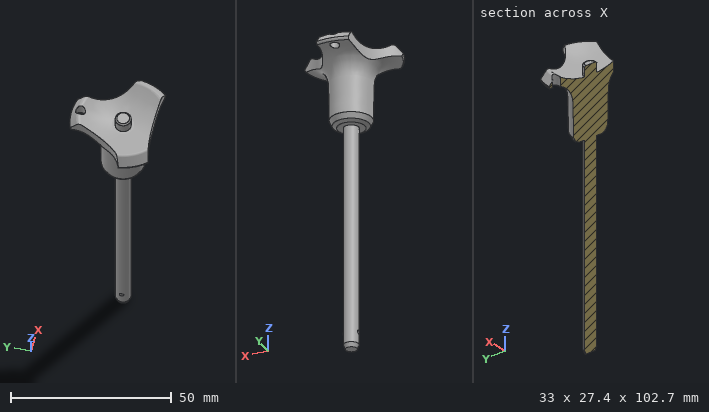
import cadquery as cq
import math

total_length = 102.7
handle_height = 26.7

rim_radius = 16.65
rim_crest_outer_radius = 14.6
rim_crest_inner_radius = 13.15
rim_crest_inner_z = -0.19
rim_crest_outer_z = -0.38
rim_crest_radius = 13.75
rim_edge_z = -2.8
rim_bottom_z = -3.8
rim_edge_inset = 0.45
rim_edge_mid_inset = 0.11

dish_radius = 22.7
dish_floor_radius = 3.5

grip_top_radius = 7.2
grip_top_z = -11.8
grip_bottom_radius = 6.95
grip_bottom_z = -24.2
grip_taper_end_radius = 6.0
grip_taper_end_z = -26.0
grip_end_radius = 4.6

rear_lobe_half_width = 5.4
side_scallop_radius = 17.2
handle_width = 33.03
lobe_outer_corner_x = handle_width / 2
lobe_front_corner_y = -10.75
front_scallop_radius = 53.0

lanyard_hole_diameter = 3.0
lanyard_hole_y = 13.6

button_diameter = 5.0
button_top_z = -0.3
button_chamfer = 0.5

pin_diameter = 5.0
pin_tip_chamfer_length = 1.5
pin_tip_chamfer_width = 0.55
ball_diameter = 2.0
ball_protrusion = 0.2
ball_height_above_tip = 5.5


def on_rim(known):
    """Other coordinate of a point on the rim circle, as a positive length."""
    return math.sqrt(rim_radius**2 - known**2)


def make_handle_body():
    """Revolved knob: rounded rim crest, conical rim edge, flared underside, tapered grip."""
    dish_center_z = rim_crest_inner_z + math.sqrt(dish_radius**2 - rim_crest_inner_radius**2)
    dish_mid_radius = (rim_crest_inner_radius + dish_floor_radius) / 2

    def dish_z(radius):
        return dish_center_z - math.sqrt(dish_radius**2 - radius**2)

    flare_radius = rim_bottom_z - grip_top_z
    flare_end_radius = grip_top_radius + flare_radius
    diagonal = math.sqrt(0.5)
    flare_mid = (flare_end_radius - flare_radius * diagonal, grip_top_z + flare_radius * diagonal)
    dish_mid = (dish_mid_radius, dish_z(dish_mid_radius))
    crest_inner = (rim_crest_inner_radius, rim_crest_inner_z)
    crest_outer = (rim_crest_outer_radius, rim_crest_outer_z)
    rim_edge_mid = (rim_radius - rim_edge_mid_inset, (rim_edge_z + rim_bottom_z) / 2)
    rim_edge_end = (rim_radius - rim_edge_inset, rim_bottom_z)

    return (
        cq.Workplane("XZ")
        .moveTo(0, dish_z(dish_floor_radius))
        .lineTo(dish_floor_radius, dish_z(dish_floor_radius))
        .threePointArc(dish_mid, crest_inner)
        .threePointArc((rim_crest_radius, 0), crest_outer)
        .lineTo(rim_radius, rim_edge_z)
        .threePointArc(rim_edge_mid, rim_edge_end)
        .lineTo(flare_end_radius, rim_bottom_z)
        .threePointArc(flare_mid, (grip_top_radius, grip_top_z))
        .lineTo(grip_bottom_radius, grip_bottom_z)
        .lineTo(grip_taper_end_radius, grip_taper_end_z)
        .lineTo(grip_end_radius, -handle_height)
        .lineTo(0, -handle_height)
        .close()
        .revolve(360, (0, 0, 0), (0, 1, 0))
    )


def mirrored(point):
    """Point on the other side of the YZ symmetry plane."""
    return (-point[0], point[1])


def scallop_middle(start, end, radius):
    """Middle of a concave arc of the given radius, taken clockwise round the part."""
    chord_x = end[0] - start[0]
    chord_y = end[1] - start[1]
    chord = math.hypot(chord_x, chord_y)
    sagitta = radius - math.sqrt(radius**2 - (chord / 2) ** 2)
    inward_x = chord_y / chord
    inward_y = -chord_x / chord
    return (
        (start[0] + end[0]) / 2 + sagitta * inward_x,
        (start[1] + end[1]) / 2 + sagitta * inward_y,
    )


def make_lobe_outline():
    """Prism with the three-lobed outline, tall enough to contain the whole handle."""
    rear_tip_y = on_rim(rear_lobe_half_width)
    lobe_rear_corner_y = -on_rim(lobe_outer_corner_x)
    lobe_front_corner_x = on_rim(lobe_front_corner_y)
    lobe_mid_angle = (
        math.atan2(lobe_rear_corner_y, lobe_outer_corner_x)
        + math.atan2(lobe_front_corner_y, lobe_front_corner_x)
    ) / 2

    rear_corner = (rear_lobe_half_width, rear_tip_y)
    outer_corner = (lobe_outer_corner_x, lobe_rear_corner_y)
    front_corner = (lobe_front_corner_x, lobe_front_corner_y)
    lobe_mid = (rim_radius * math.cos(lobe_mid_angle), rim_radius * math.sin(lobe_mid_angle))
    side_mid = scallop_middle(rear_corner, outer_corner, side_scallop_radius)
    front_mid = scallop_middle(front_corner, mirrored(front_corner), front_scallop_radius)

    return (
        cq.Workplane("XY")
        .workplane(offset=-handle_height)
        .moveTo(*mirrored(rear_corner))
        .threePointArc((0, rim_radius), rear_corner)
        .threePointArc(side_mid, outer_corner)
        .threePointArc(lobe_mid, front_corner)
        .threePointArc(front_mid, mirrored(front_corner))
        .threePointArc(mirrored(lobe_mid), mirrored(outer_corner))
        .threePointArc(mirrored(side_mid), mirrored(rear_corner))
        .close()
        .extrude(handle_height)
    )


def make_lanyard_hole():
    """Vertical hole passing right through the rear lobe."""
    return (
        cq.Workplane("XY")
        .center(0, lanyard_hole_y)
        .circle(lanyard_hole_diameter / 2)
        .extrude(-handle_height)
    )


def make_button():
    """Release button standing in the dish, rooted in the grip."""
    return (
        cq.Workplane("XY")
        .workplane(offset=button_top_z)
        .circle(button_diameter / 2)
        .extrude(grip_top_z - button_top_z)
        .faces(">Z")
        .chamfer(button_chamfer)
    )


def make_pin():
    """Shank from inside the grip down to the tapered tip."""
    return (
        cq.Workplane("XY")
        .workplane(offset=grip_bottom_z)
        .circle(pin_diameter / 2)
        .extrude(-total_length - grip_bottom_z)
        .faces("<Z")
        .chamfer(pin_tip_chamfer_length, pin_tip_chamfer_width)
    )


def make_ball(side):
    """Locking ball standing slightly proud of the shank on the given X side."""
    center_x = side * ((pin_diameter - ball_diameter) / 2 + ball_protrusion)
    center = (center_x, 0, ball_height_above_tip - total_length)
    return cq.Workplane("XY").sphere(ball_diameter / 2).translate(center)


handle = make_handle_body().intersect(make_lobe_outline()).cut(make_lanyard_hole())
result = handle.union(make_button()).union(make_pin())
for ball_side in (-1, 1):
    result = result.union(make_ball(ball_side))